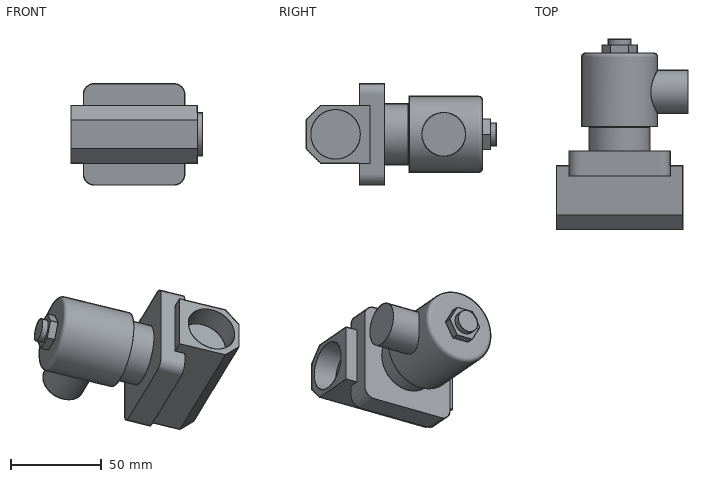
import cadquery as cq

OVERALL_LENGTH = 105.0
OVERALL_WIDTH = 72.8

BLOCK_LENGTH = 69.8
BLOCK_HEIGHT = 32.0
BLOCK_DEPTH = 35.2
BLOCK_CHAMFER = 8.1
PORT_DIAMETER = 27.3
PORT_DEPTH = 14.0
PORT_CENTRE_Y = 16.3
FLANGE_SIDE = 56.0
FLANGE_START_Y = 29.4
FLANGE_THICKNESS = 14.0
FLANGE_CORNER_RADIUS = 6.0
NECK_DIAMETER = 33.8
NECK_CLEARANCE = 0.3

COIL_DIAMETER = 42.0
COIL_START_Y = 56.8
COIL_LENGTH = 40.5
COIL_EDGE_RADIUS = 2.3
CONDUIT_DIAMETER = 24.0
CONDUIT_CENTRE_Y = 75.9
CONDUIT_REACH = OVERALL_WIDTH - BLOCK_LENGTH / 2
NUT_CORNER_DIAMETER = 19.6
NUT_HEIGHT = 4.4
STEM_DIAMETER = 12.7

FLANGE_END_Y = FLANGE_START_Y + FLANGE_THICKNESS
COIL_END_Y = COIL_START_Y + COIL_LENGTH
NUT_END_Y = COIL_END_Y + NUT_HEIGHT


def plane_at_y(y):
    """Sketch plane across the coil axis, facing +Y, with its local x along +X."""
    return cq.Workplane(cq.Plane(origin=(0, y, 0), xDir=(1, 0, 0), normal=(0, 1, 0)))


def plane_at_x(x, y):
    """Sketch plane facing +X, centred on the given X and Y."""
    return cq.Workplane(cq.Plane(origin=(x, y, 0), xDir=(0, 1, 0), normal=(1, 0, 0)))


def cylinder_along_y(diameter, start, end):
    return plane_at_y(start).circle(diameter / 2).extrude(end - start)


def make_block():
    """Block with two chamfered front edges and a blind port in each end."""
    return (
        cq.Workplane("XY")
        .box(BLOCK_LENGTH, BLOCK_DEPTH, BLOCK_HEIGHT)
        .translate((0, BLOCK_DEPTH / 2, 0))
        .faces("<Y")
        .edges("|X")
        .chamfer(BLOCK_CHAMFER)
    )


def make_port(side):
    """Cutter for the blind port in one end: side -1 is the -X end, +1 the +X end."""
    end = plane_at_x(side * BLOCK_LENGTH / 2, PORT_CENTRE_Y)
    return end.circle(PORT_DIAMETER / 2).extrude(-side * PORT_DEPTH)


def make_flange():
    flange = plane_at_y(FLANGE_START_Y).rect(FLANGE_SIDE, FLANGE_SIDE).extrude(FLANGE_THICKNESS)
    return flange.edges("|Y").fillet(FLANGE_CORNER_RADIUS)


def make_valve_body():
    neck = cylinder_along_y(NECK_DIAMETER, FLANGE_END_Y, COIL_START_Y - NECK_CLEARANCE)
    body = make_block().union(make_flange()).union(neck)
    for side in (-1, 1):
        body = body.cut(make_port(side))
    return body


def make_coil():
    housing = cylinder_along_y(COIL_DIAMETER, COIL_START_Y, COIL_END_Y)
    housing = housing.faces(">Y").edges().fillet(COIL_EDGE_RADIUS)
    conduit = plane_at_x(0, CONDUIT_CENTRE_Y).circle(CONDUIT_DIAMETER / 2).extrude(CONDUIT_REACH)
    nut = plane_at_y(COIL_END_Y).polygon(6, NUT_CORNER_DIAMETER).extrude(NUT_HEIGHT)
    stem = cylinder_along_y(STEM_DIAMETER, NUT_END_Y, OVERALL_LENGTH)
    return housing.union(conduit).union(nut).union(stem)


valve_body = make_valve_body()
coil = make_coil()

result = cq.Compound.makeCompound([valve_body.val(), coil.val()])